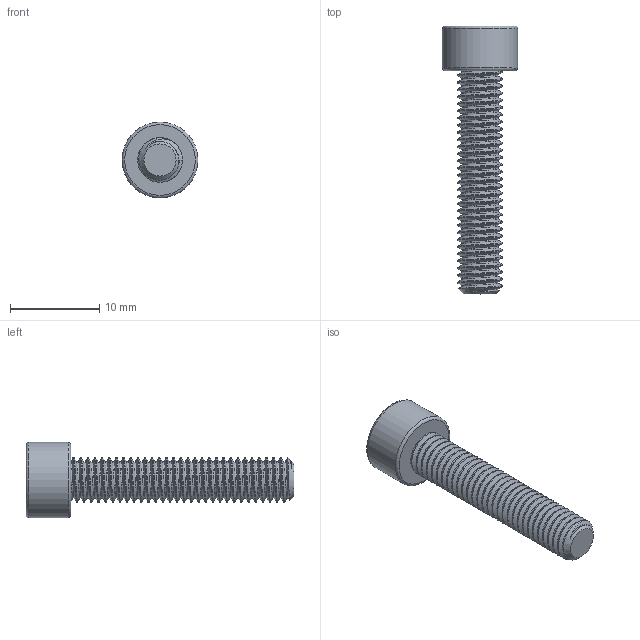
import cadquery as cq
import math


head_diameter = 8.5
head_height = 5.0
head_edge_radius = 0.3

thread_diameter = 5.0
shank_length = 25.0
tip_chamfer = 0.7

pitch = 0.8
sharp_height = pitch * math.sqrt(3) / 2
thread_depth = 5 / 8 * sharp_height
crest_width = pitch / 8
root_width = pitch / 4
crest_radius = thread_diameter / 2
root_radius = crest_radius - thread_depth

first_crest_depth = 0.32

envelope_clearance = 0.1


def head():
    """Plain cylindrical head with both rims rounded."""
    return (
        cq.Workplane("XY")
        .circle(head_diameter / 2)
        .extrude(head_height)
        .edges()
        .fillet(head_edge_radius)
    )


def threaded_rod(turns):
    """Solid right-hand threaded rod along Z; its root flat is centred on Z = 0 on the +X side."""
    root_half = root_width / 2
    crest_half = crest_width / 2
    outline = [
        (root_radius, -root_half),
        (root_radius, root_half),
        (crest_radius, pitch / 2 - crest_half),
        (crest_radius, pitch / 2 + crest_half),
        (root_radius, pitch - root_half),
    ]

    helices = [
        cq.Wire.makeHelix(pitch, pitch, radius).translate(cq.Vector(0, 0, height))
        for radius, height in outline
    ]
    strips = [cq.Face.makeRuledSurface(lower, upper) for lower, upper in zip(helices, helices[1:])]
    faces = [
        strip.translate(cq.Vector(0, 0, turn * pitch))
        for turn in range(turns)
        for strip in strips
    ]

    axis_bottom = cq.Vector(0, 0, -root_half)
    axis_top = cq.Vector(0, 0, pitch - root_half)
    axis_line = cq.Wire.assembleEdges([cq.Edge.makeLine(axis_bottom, axis_top)])
    ramp = cq.Face.makeRuledSurface(axis_line, helices[0])
    outline_points = [cq.Vector(radius, 0, height) for radius, height in outline]
    step = cq.Face.makeFromWires(
        cq.Wire.makePolygon([axis_bottom] + outline_points + [axis_top], close=True)
    )
    for end_height in (0, turns * pitch):
        faces += [face.translate(cq.Vector(0, 0, end_height)) for face in (ramp, step)]

    return cq.Workplane(cq.Solid.makeSolid(cq.Shell.makeShell(faces)))


def shank_envelope():
    """Outer limit of the shank below Z = 0: flat top, flat tip and conical tip chamfer."""
    return (
        cq.Workplane("XY")
        .circle(crest_radius + envelope_clearance)
        .extrude(-shank_length)
        .faces("<Z")
        .chamfer(tip_chamfer + envelope_clearance)
    )


def threaded_shank():
    """Shank threaded from the bearing face to the chamfered tip."""
    crest_turn = 3 / 4
    highest_rod_start = -first_crest_depth - (1 / 2 + crest_turn) * pitch
    pitches_below = math.ceil((shank_length + pitch + highest_rod_start) / pitch)
    rod_bottom = highest_rod_start - pitches_below * pitch
    turns = math.ceil(-rod_bottom / pitch) + 1
    rod = threaded_rod(turns).translate((0, 0, rod_bottom))
    return rod.intersect(shank_envelope())


upright_screw = threaded_shank().union(head())
result = upright_screw.rotate((0, 0, 0), (1, 0, 0), -90)